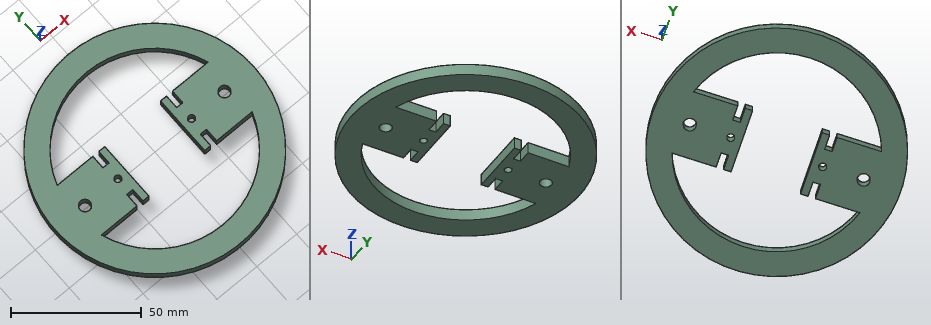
import cadquery as cq

outer_diameter = 100.0
ring_width = 10.0
thickness = 5.0
inner_diameter = outer_diameter - 2 * ring_width

tab_width = 26.0
tab_gap = 28.0
tab_tip_x = tab_gap / 2
tab_root_x = outer_diameter / 2 - ring_width / 2

notch_width = 3.0
notch_depth = 6.0
tip_bar_width = 3.0
notch_x = tab_tip_x + tip_bar_width + notch_width / 2

mount_hole_diameter = 5.0
mount_hole_x = 35.0
small_hole_diameter = 3.0
small_hole_x = notch_x


def make_ring():
    return (
        cq.Workplane("XY")
        .circle(outer_diameter / 2)
        .circle(inner_diameter / 2)
        .extrude(thickness)
    )


def make_tab(side):
    """Tab on the +X (side = 1) or -X (side = -1) half of the ring."""
    return (
        cq.Workplane("XY")
        .center(side * (tab_tip_x + tab_root_x) / 2, 0)
        .rect(tab_root_x - tab_tip_x, tab_width)
        .extrude(thickness)
    )


def make_notches(side):
    """Pair of notches entering one tab from its two long edges."""
    notch_y = (tab_width - notch_depth) / 2
    return (
        cq.Workplane("XY")
        .pushPoints([(side * notch_x, -notch_y), (side * notch_x, notch_y)])
        .rect(notch_width, notch_depth)
        .extrude(thickness)
    )


def make_hole(x, diameter):
    return cq.Workplane("XY").center(x, 0).circle(diameter / 2).extrude(thickness)


result = make_ring()
for side in (-1, 1):
    result = result.union(make_tab(side))
    result = result.cut(make_notches(side))
    result = result.cut(make_hole(side * mount_hole_x, mount_hole_diameter))
    result = result.cut(make_hole(side * small_hole_x, small_hole_diameter))